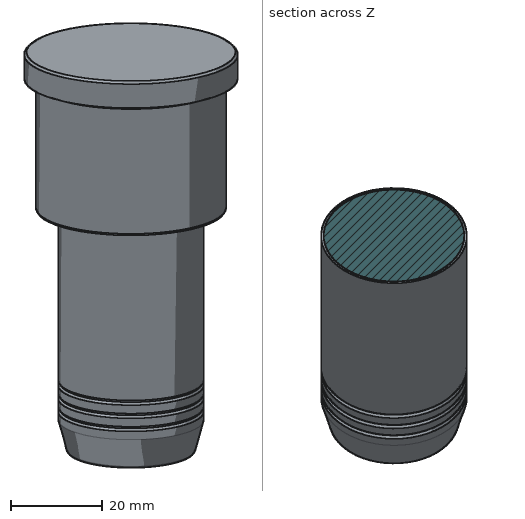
import cadquery as cq
import math

total_height = 91.0
flange_radius = 23.5
flange_height = 6.0
flange_chamfer = 0.55

body_radius = 20.9
body_bottom = 55.1
body_chamfer_height = 0.5
body_chamfer_width = 0.3
flange_groove_width = 0.55
flange_groove_radius = 20.7

shaft_radius = 16.0
shaft_groove_width = 1.0
shaft_groove_radius = 15.5

taper_top = 7.1
taper_angle = 15.0
tip_chamfer_height = 0.5
tip_chamfer_width = 0.3

ring_count = 3
ring_pitch = 3.0
lowest_ring = 9.5
ring_depth = 0.5
ring_half_width = 0.55

flange_bottom = total_height - flange_height
body_top = flange_bottom - flange_groove_width
shaft_top = body_bottom - shaft_groove_width
taper_inset = (taper_top - tip_chamfer_height) * math.tan(math.radians(taper_angle))
tip_radius = shaft_radius - taper_inset


def revolve_profile(points):
    """Revolve a closed (radius, height) outline about the Z axis."""
    return cq.Workplane("XZ").polyline(points).close().revolve(360, (0, 0), (0, 1))


def ring_groove(height):
    """Ring with a triangular section that cuts a V-groove into the shaft."""
    return revolve_profile([
        (shaft_radius, height - ring_half_width),
        (shaft_radius - ring_depth, height),
        (shaft_radius, height + ring_half_width),
    ])


result = revolve_profile([
    (0, 0),
    (tip_radius - tip_chamfer_width, 0),
    (tip_radius, tip_chamfer_height),
    (shaft_radius, taper_top),
    (shaft_radius, shaft_top),
    (shaft_groove_radius, shaft_top),
    (shaft_groove_radius, body_bottom),
    (body_radius - body_chamfer_width, body_bottom),
    (body_radius, body_bottom + body_chamfer_height),
    (body_radius, body_top - body_chamfer_height),
    (flange_groove_radius, body_top),
    (flange_groove_radius, flange_bottom),
    (flange_radius, flange_bottom),
    (flange_radius, total_height - flange_chamfer),
    (flange_radius - flange_chamfer, total_height),
    (0, total_height),
])

for index in range(ring_count):
    result = result.cut(ring_groove(lowest_ring + index * ring_pitch))